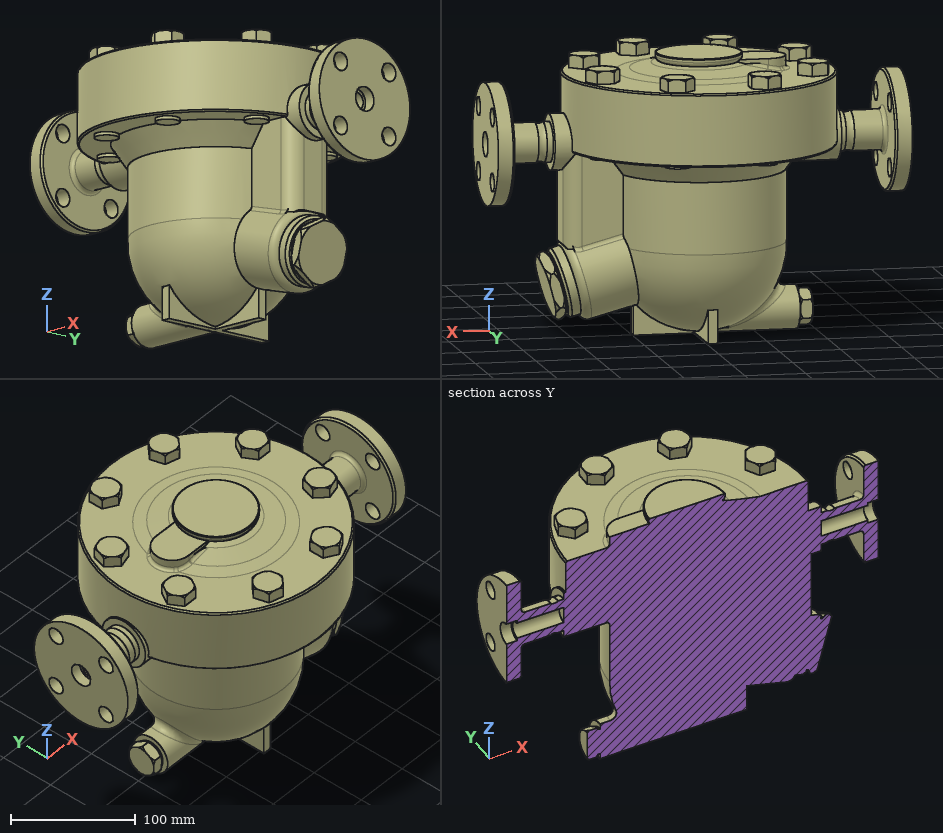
import cadquery as cq
import math

OVERALL_LENGTH = 340.0
PIPE_MID_X = 5.0

FLANGE_DIA = 100.0
FLANGE_THICKNESS = 14.0
FLANGE_CHAMFER = 1.7
FLANGE_HOLE_DIA = 15.0
FLANGE_BOLT_CIRCLE = 75.0
NECK_DIA = 33.0
NECK_FILLET = 3.5
WELD_START = 26.5
WELD_WIDTH = 6.8
WELD_DEPTH = 1.0
BOSS_DIA = 46.0
BOSS_REACH = 117.5
SOCKET_DIA = 20.0
SOCKET_DEPTH = 10.0
BORE_DIA = 15.0

BODY_DIA = 222.0
COVER_TOP = 54.0
JOINT_BOTTOM = -5.8
JOINT_CHAMFER = 1.5
THROAT_TOP_RADIUS = 84.3
THROAT_BOTTOM = -25.0
BARREL_RADIUS = 70.7
BARREL_BOTTOM = -84.0
BOWL_BOTTOM = -158.0
BOWL_DEPTH = BARREL_BOTTOM - BOWL_BOTTOM
BOWL_RADIUS = (BARREL_RADIUS ** 2 + BOWL_DEPTH ** 2) / (2 * BOWL_DEPTH)
BOWL_CENTRE_Z = BOWL_BOTTOM + BOWL_RADIUS
BASE_Z = -159.8

CAP_RADIUS = 35.0
CAP_TOP = 69.0
CAP_CHAMFER = 0.7
CAP_RIM_BOTTOM = 66.3
CAP_NECK_RADIUS = 33.0
CAP_NECK_BOTTOM = 62.5
DISH_TOP_RADIUS = 38.5
DISH_TOP = 61.0
DISH_RADIUS = 55.8
DISH_EDGE_Z = 56.5
DISH_FOOT_RADIUS = 67.0

LUG_DIA = 35.0
LUG_CENTRE_X = -53.5
LUG_TOP = 64.3
LUG_FILLET = 3.0

BOLT_COUNT = 8
BOLT_CIRCLE_RADIUS = 93.5
BOLT_FLATS = 24.0
BOLT_HEAD_HEIGHT = 10.5
BOLT_END_DIA = 20.0
BOLT_END_HEIGHT = 2.7

RIB_REACH = 114.0
RIB_FILLET = 13.0
RIB_FOOT_Z = -82.3
RIB_TOE = 20.5
RIB_BLEND = 5.0

PLUG_TILT = 15.0
PLUG_ORIGIN_Z = -84.5
PLUG_BOSS_DIA = 70.0
PLUG_BOSS_END = 110.0
PLUG_BOSS_FILLET = 6.8
PLUG_COLLAR_DIA = 58.0
PLUG_COLLAR_END = 120.0
PLUG_COLLAR_CHAMFER = 2.5
PLUG_NECK_DIA = 49.5
PLUG_HEX_START = 121.5
PLUG_HEX_END = 130.2
PLUG_HEX_FLATS = 50.0

DRAIN_BOSS_DIA = 36.0
DRAIN_BOSS_FACE_X = -79.5
DRAIN_BOSS_FILLET = 5.8
DRAIN_BLEND_BOTTOM = -154.7
DRAIN_NECK_DIA = 26.0
DRAIN_HEX_START_X = -81.0
DRAIN_HEX_END_X = -91.0
DRAIN_HEX_FLATS = 26.2

FOOT_REACH = 54.7
FOOT_THICKNESS = 8.0

HEX_TURN_SHARE = 0.4
PICK_MARGIN = 0.5


def outer_face(plane):
    """Selector for the face farthest along the plane normal."""
    return cq.selectors.DirectionMinMaxSelector(plane.zDir, True)


def hex_prism(plane, flats, start, end, both_ends=False):
    """Hexagonal head along the plane normal, corners turned down at the outer or both ends."""
    corners = flats / math.cos(math.pi / 6)
    base = cq.Workplane(plane).workplane(offset=start)
    prism = base.polygon(6, corners).extrude(end - start)
    if both_ends:
        turned_faces = cq.selectors.ParallelDirSelector(plane.zDir)
    else:
        turned_faces = outer_face(plane)
    turned = base.circle(corners / 2).extrude(end - start)
    turned = turned.faces(turned_faces).edges().chamfer(HEX_TURN_SHARE * (corners - flats))
    return prism.intersect(turned)


def cylinder(plane, diameter, start, end):
    return cq.Workplane(plane).workplane(offset=start).circle(diameter / 2).extrude(end - start)


def make_bowl():
    """Lower joint ring, conical throat, barrel and round bottom."""
    outer = BODY_DIA / 2
    arc_offset = BOWL_RADIUS * math.sqrt(0.5)
    return (
        cq.Workplane("XZ")
        .moveTo(0, COVER_TOP)
        .lineTo(outer - JOINT_CHAMFER, COVER_TOP)
        .lineTo(outer, COVER_TOP - JOINT_CHAMFER)
        .lineTo(outer, JOINT_BOTTOM + JOINT_CHAMFER)
        .lineTo(outer - JOINT_CHAMFER, JOINT_BOTTOM)
        .lineTo(THROAT_TOP_RADIUS, JOINT_BOTTOM)
        .lineTo(BARREL_RADIUS, THROAT_BOTTOM)
        .lineTo(BARREL_RADIUS, BARREL_BOTTOM)
        .threePointArc((arc_offset, BOWL_CENTRE_Z - arc_offset), (0, BOWL_BOTTOM))
        .close()
        .revolve(360, (0, 0, 0), (0, 1, 0))
    )


def make_cover_lug():
    """Shallow conical dish on the cover, with a rounded lug blended into it."""
    outer = BODY_DIA / 2 - JOINT_CHAMFER
    dish = (
        cq.Workplane("XZ")
        .polyline([
            (0, 0),
            (outer, 0),
            (outer, COVER_TOP),
            (DISH_FOOT_RADIUS, COVER_TOP),
            (DISH_RADIUS, DISH_EDGE_Z),
            (DISH_TOP_RADIUS, DISH_TOP),
            (0, DISH_TOP),
        ])
        .close()
        .revolve(360, (0, 0, 0), (0, 1, 0))
    )
    lug = (
        cq.Workplane("XY")
        .center(LUG_CENTRE_X / 2, 0)
        .slot2D(-LUG_CENTRE_X + LUG_DIA, LUG_DIA)
        .extrude(LUG_TOP)
    )
    lug_foot = cq.selectors.BoxSelector(
        (LUG_CENTRE_X - LUG_DIA, -LUG_DIA, COVER_TOP - LUG_FILLET),
        (-DISH_TOP_RADIUS, LUG_DIA, DISH_TOP),
    )
    return dish.union(lug).edges(lug_foot).edges("not %LINE").fillet(LUG_FILLET)


def make_cap():
    """Round cap, its rim curving in to a neck that flares out onto the dish."""
    return (
        cq.Workplane("XZ")
        .moveTo(0, CAP_TOP)
        .lineTo(CAP_RADIUS - CAP_CHAMFER, CAP_TOP)
        .lineTo(CAP_RADIUS, CAP_TOP - CAP_CHAMFER)
        .lineTo(CAP_RADIUS, CAP_RIM_BOTTOM)
        .tangentArcPoint((CAP_NECK_RADIUS, CAP_NECK_BOTTOM), relative=False)
        .lineTo(DISH_TOP_RADIUS, DISH_TOP)
        .lineTo(DISH_TOP_RADIUS, 0)
        .lineTo(0, 0)
        .close()
        .revolve(360, (0, 0, 0), (0, 1, 0))
    )


def make_bolts():
    """Hex heads on the cover with the bolt ends showing under the joint."""
    bolts = cq.Workplane("XY")
    for i in range(BOLT_COUNT):
        turn = 2 * math.pi * i / BOLT_COUNT
        angle = turn + math.pi / BOLT_COUNT
        x = BOLT_CIRCLE_RADIUS * math.cos(angle)
        y = BOLT_CIRCLE_RADIUS * math.sin(angle)
        corner_direction = (math.cos(turn), math.sin(turn), 0)
        plane = cq.Plane(origin=(x, y, 0), xDir=corner_direction, normal=(0, 0, 1))
        bolts = bolts.union(hex_prism(plane, BOLT_FLATS, COVER_TOP, COVER_TOP + BOLT_HEAD_HEIGHT))
        bolts = bolts.union(cylinder(plane, BOLT_END_DIA, JOINT_BOTTOM - BOLT_END_HEIGHT, 0))
    return bolts


def make_nozzle(side):
    """Body boss, welded neck and drilled pipe flange; side is -1 or +1 along X."""
    face = OVERALL_LENGTH / 2
    back = face - FLANGE_THICKNESS
    weld_end = back - WELD_START
    weld_mid = weld_end - WELD_WIDTH / 2
    neck = NECK_DIA / 2
    rim = FLANGE_DIA / 2
    arc_step = NECK_FILLET * (1 - math.sqrt(0.5))
    nozzle = (
        cq.Workplane("XY")
        .moveTo(0, 0)
        .lineTo(0, BOSS_DIA / 2)
        .lineTo(BOSS_REACH, BOSS_DIA / 2)
        .lineTo(BOSS_REACH, neck)
        .lineTo(weld_end - WELD_WIDTH, neck)
        .threePointArc((weld_mid, neck - WELD_DEPTH), (weld_end, neck))
        .lineTo(back - NECK_FILLET, neck)
        .threePointArc((back - arc_step, neck + arc_step), (back, neck + NECK_FILLET))
        .lineTo(back, rim - FLANGE_CHAMFER)
        .lineTo(back + FLANGE_CHAMFER, rim)
        .lineTo(face, rim)
        .lineTo(face, 0)
        .close()
        .revolve(360, (0, 0, 0), (1, 0, 0))
    )
    end = cq.Workplane("YZ").workplane(offset=face)
    pitch = FLANGE_BOLT_CIRCLE / math.sqrt(2)
    holes = end.rect(pitch, pitch, forConstruction=True).vertices()
    nozzle = nozzle.cut(holes.circle(FLANGE_HOLE_DIA / 2).extrude(-FLANGE_THICKNESS))
    nozzle = nozzle.cut(end.circle(SOCKET_DIA / 2).extrude(-SOCKET_DEPTH))
    nozzle = nozzle.cut(end.circle(BORE_DIA / 2).extrude(BOSS_REACH - face))
    if side < 0:
        nozzle = nozzle.mirror("YZ")
    return nozzle.translate((PIPE_MID_X, 0, 0))


def make_rib():
    """Rounded upright passage from the outlet boss down to the inclined boss."""
    root = BOWL_RADIUS / 2
    rib = (
        cq.Workplane("XZ")
        .polyline([
            (root, 0),
            (RIB_REACH, 0),
            (RIB_REACH, RIB_FOOT_Z),
            (RIB_REACH - RIB_TOE, RIB_FOOT_Z - RIB_TOE),
            (root, BOWL_CENTRE_Z),
        ])
        .close()
        .extrude(BOSS_DIA / 2, both=True)
    )
    return rib.edges("|Z").edges(">X").fillet(RIB_FILLET)


def plug_plane():
    """Plane whose normal runs along the tilted plug axis."""
    tilt = math.radians(PLUG_TILT)
    return cq.Plane(
        origin=(0, 0, PLUG_ORIGIN_Z),
        xDir=(math.sin(tilt), 0, math.cos(tilt)),
        normal=(math.cos(tilt), 0, -math.sin(tilt)),
    )


def make_inclined_boss():
    """Round boss tilted down toward +X, blended into the rib above it."""
    plane = plug_plane()
    barrel = cylinder(plane, PLUG_BOSS_DIA, 0, PLUG_BOSS_END - PLUG_BOSS_FILLET)
    half_width = BOSS_DIA / 2
    seam_bottom = RIB_FOOT_Z - half_width
    blended = make_rib().union(barrel)
    for side in (-half_width, half_width):
        seam = cq.selectors.BoxSelector(
            (BOWL_RADIUS / 2, side - PICK_MARGIN, seam_bottom),
            (RIB_REACH - RIB_FILLET, side + PICK_MARGIN, THROAT_BOTTOM),
        )
        blended = blended.edges(seam).edges("%LINE").edges("not |Z").fillet(RIB_BLEND)
    boss = cylinder(plane, PLUG_BOSS_DIA, 0, PLUG_BOSS_END)
    boss = boss.faces(outer_face(plane)).edges().fillet(PLUG_BOSS_FILLET)
    return blended.union(boss)


def make_inclined_plug():
    """Collar and hex head screwed into the inclined boss."""
    plane = plug_plane()
    collar = cylinder(plane, PLUG_COLLAR_DIA, 0, PLUG_COLLAR_END)
    collar = collar.faces(outer_face(plane)).edges().chamfer(PLUG_COLLAR_CHAMFER)
    neck = cylinder(plane, PLUG_NECK_DIA, 0, PLUG_HEX_START)
    head = hex_prism(plane, PLUG_HEX_FLATS, PLUG_HEX_START, PLUG_HEX_END, both_ends=True)
    return collar.union(neck).union(head)


def drain_plane():
    """Plane whose normal runs along the drain axis toward -X."""
    z = BASE_Z + DRAIN_BOSS_DIA / 2
    return cq.Plane(origin=(0, 0, z), xDir=(0, 0, 1), normal=(-1, 0, 0))


def make_drain_boss(bowl):
    """Horizontal boss at the bottom of the bowl, blended into its round side."""
    boss = cylinder(drain_plane(), DRAIN_BOSS_DIA, 0, -DRAIN_BOSS_FACE_X)
    joined = bowl.union(boss)
    upper = joined.intersect(
        cq.Workplane("XY").workplane(offset=DRAIN_BLEND_BOTTOM)
        .rect(BODY_DIA, BODY_DIA).extrude(COVER_TOP - DRAIN_BLEND_BOTTOM)
    )
    seam = cq.selectors.BoxSelector(
        (-BOWL_RADIUS, -DRAIN_BOSS_DIA, DRAIN_BLEND_BOTTOM),
        (0, DRAIN_BOSS_DIA, BOWL_CENTRE_Z),
    )
    return joined.union(upper.edges(seam).edges("%BSPLINE").fillet(DRAIN_BOSS_FILLET))


def make_drain_plug():
    """Short neck and hex head closing the drain boss."""
    plane = drain_plane()
    neck = cylinder(plane, DRAIN_NECK_DIA, 0, -DRAIN_HEX_START_X)
    head = hex_prism(plane, DRAIN_HEX_FLATS, -DRAIN_HEX_START_X, -DRAIN_HEX_END_X, both_ends=True)
    return neck.union(head)


def make_feet():
    """Plates under the bowl: one across Y, one toward +X."""
    height = BOWL_CENTRE_Z - BASE_Z
    across = (
        cq.Workplane("XY").workplane(offset=BASE_Z)
        .rect(FOOT_THICKNESS, 2 * FOOT_REACH).extrude(height)
    )
    along = (
        cq.Workplane("XY").workplane(offset=BASE_Z)
        .center(FOOT_REACH / 2, 0)
        .rect(FOOT_REACH, FOOT_THICKNESS).extrude(height)
    )
    return across.union(along)


result = make_drain_boss(make_bowl())
result = result.union(make_drain_plug())
result = result.union(make_inclined_boss())
result = result.union(make_inclined_plug())
result = result.union(make_feet())
result = result.union(make_cover_lug())
result = result.union(make_cap())
result = result.union(make_bolts())
result = result.union(make_nozzle(-1))
result = result.union(make_nozzle(1))